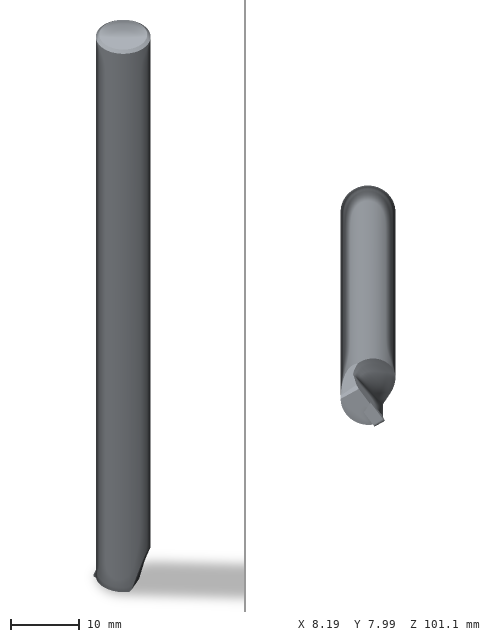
import cadquery as cq
import math


shank_diameter = 7.99
shank_radius = shank_diameter / 2
overall_length = 101.1
top_chamfer_width = 0.5
top_chamfer_height = 0.4

pocket_radius = 4.1
pocket_center_y = 3.7
pocket_crown_z = 9.9
pocket_slope = 33.5
flat_y = -0.2

side_relief_start_z = 6.6
side_relief_angle = 13.5
end_z = 0.18
end_relief_angle = 5.0
heel_chamfer_x = 2.0
heel_chamfer_angle = 45.0

tip_overhang = 0.2
tip_left_x = -shank_radius - tip_overhang
tip_thickness = 1.7
tip_nose_radius = 0.5
tip_length = 1.7
tip_width = 3.0
tip_side_angle = 38.0
tip_end_angle = 2.0
tip_relief_angle = 6.0

cutter_size = 30.0


def rise(run, angle):
    return run * math.tan(math.radians(angle))


def make_round_bar():
    bar = cq.Workplane("XY").circle(shank_radius).extrude(overall_length)
    return bar.faces(">Z").chamfer(top_chamfer_height, top_chamfer_width)


def make_chip_pocket():
    """Cutter on the +Y side of the flat, with a cylindrical roof tilted about Y."""
    arch_start_z = math.sqrt(pocket_radius**2 - (pocket_center_y - flat_y) ** 2) - pocket_radius
    arch_end_y = pocket_center_y + pocket_radius
    cutter = (
        cq.Workplane("YZ")
        .moveTo(flat_y, -cutter_size)
        .lineTo(flat_y, arch_start_z)
        .radiusArc((arch_end_y, -pocket_radius), pocket_radius)
        .lineTo(arch_end_y, -cutter_size)
        .close()
        .extrude(cutter_size, both=True)
    )
    return cutter.rotate((0, 0, 0), (0, 1, 0), pocket_slope).translate((0, 0, pocket_crown_z))


def make_side_relief():
    """Wedge that slants the +X side inward toward the end."""
    inward = rise(side_relief_start_z + cutter_size, side_relief_angle)
    return (
        cq.Workplane("XZ")
        .moveTo(shank_radius, side_relief_start_z)
        .lineTo(shank_radius - inward, -cutter_size)
        .lineTo(shank_radius, -cutter_size)
        .close()
        .extrude(cutter_size, both=True)
    )


def make_end_relief():
    """Cutter under the end face, which climbs toward -Y."""
    climb = rise(cutter_size, end_relief_angle)
    return (
        cq.Workplane("YZ")
        .moveTo(cutter_size, end_z - climb)
        .lineTo(-cutter_size, end_z + climb)
        .lineTo(-cutter_size, -cutter_size)
        .lineTo(cutter_size, -cutter_size)
        .close()
        .extrude(cutter_size, both=True)
    )


def make_heel_chamfer():
    """Wedge that breaks the corner between the end face and the slanted side."""
    return (
        cq.Workplane("XZ")
        .moveTo(heel_chamfer_x, end_z)
        .lineTo(heel_chamfer_x + cutter_size, end_z + rise(cutter_size, heel_chamfer_angle))
        .lineTo(heel_chamfer_x + cutter_size, end_z)
        .close()
        .extrude(cutter_size, both=True)
    )


def make_tip():
    """Flat tip with its rake face on Y = 0, a round nose and relieved sides."""
    nose_x = tip_left_x + tip_nose_radius
    nose_z = tip_nose_radius
    side = math.radians(180 - tip_side_angle)
    end = math.radians(270 + tip_end_angle)
    middle = (side + end) / 2

    def on_nose(angle):
        return (nose_x + tip_nose_radius * math.cos(angle), nose_z + tip_nose_radius * math.sin(angle))

    side_start = on_nose(side)
    end_start = on_nose(end)
    side_top = (side_start[0] + rise(tip_length - side_start[1], tip_side_angle), tip_length)
    end_stop = (end_start[0] + tip_width, end_start[1] + rise(tip_width, tip_end_angle))
    return (
        cq.Workplane("XZ")
        .moveTo(*side_top)
        .lineTo(*side_start)
        .threePointArc(on_nose(middle), end_start)
        .lineTo(*end_stop)
        .close()
        .extrude(tip_thickness, taper=tip_relief_angle)
    )


tip = make_tip()
shank = (
    make_round_bar()
    .cut(make_chip_pocket())
    .cut(make_side_relief())
    .cut(make_end_relief())
    .cut(make_heel_chamfer())
    .cut(tip)
)

result = cq.Compound.makeCompound([shank.solids().val(), tip.val()])